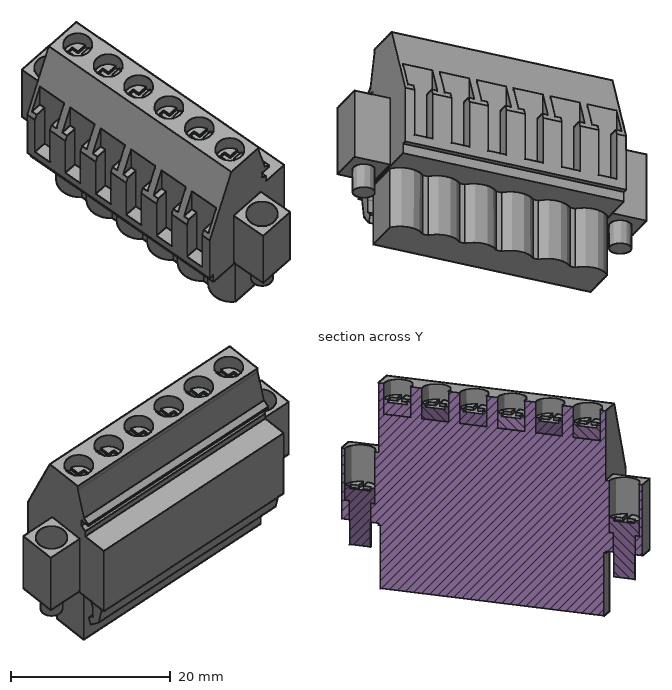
import cadquery as cq
import math


pole_count = 6
pole_pitch = 5.08
body_length = pole_count * pole_pitch
overall_length = 40.3
pole_x = [(i - (pole_count - 1) / 2) * pole_pitch for i in range(pole_count)]

front_y = -7.1
back_y = 7.0
body_top_z = 18.85
top_front_y = -3.02
top_back_y = 2.18
back_lean_top_z = 18.25
slope_bottom_z = 8.95
front_step_depth = 0.7
front_step_z = 1.33
shelf_z = 10.88
groove_bottom_y = 3.6
groove_floor_y = 2.85
groove_chamfer_z = 11.8
groove_floor_z = 12.25
lip_under_z = 13.17
lip_top_z = 13.45
lip_tip_y = 4.15
lip_root_y = 3.35
lip_root_z = 13.98

pocket_back_y = -5.28
pocket_head_width = 4.05
pocket_head_bottom_z = 9.7
pocket_top_z = 13.35
pocket_stem_width = 2.5
pocket_stem_bottom_z = 2.58

plug_bottom_z = -8.35
plug_length = 29.95
plug_back_y = 3.02
plug_crown_y = -plug_back_y
rib_radius = 3.02
rib_gap = 0.73

latch_outline = [
    (6.45, 0.0),
    (5.8, -3.1),
    (4.3, -4.65),
    (3.95, -3.65),
    (4.23, -3.22),
    (4.67, -2.95),
    (4.67, -1.15),
    (4.3, 0.0),
]

flange_length = (overall_length - body_length) / 2
flange_depth = 5.1
flange_bottom_z = 0.25
flange_top_z = 9.65
flange_x = body_length / 2 + flange_length / 2

clamp_screw_y = (top_front_y + top_back_y) / 2
clamp_screw_diameter = 3.63
clamp_screw_recess = 2.0
clamp_screw_height = 2.0
fixing_head_diameter = 3.95
fixing_head_recess = 4.85
fixing_head_height = 2.0
fixing_shank_diameter = 2.8
fixing_shank_bottom_z = -3.02
slot_width = 0.6
slot_depth = 0.4
clamp_cross_length = 2.55
clamp_cross_width = 0.85
fixing_cross_length = 2.7
fixing_cross_width = 0.73

clamp_top_z = body_top_z - clamp_screw_recess
clamp_bottom_z = clamp_top_z - clamp_screw_height
fixing_top_z = flange_top_z - fixing_head_recess
fixing_seat_z = fixing_top_z - fixing_head_height


def box(x_size, y_range, z_range, x=0.0):
    """A box centred on x, between two Y values and two Z values."""
    y_size = y_range[1] - y_range[0]
    z_size = z_range[1] - z_range[0]
    corner = (x - x_size / 2, y_range[0], z_range[0])
    return cq.Workplane("XY").box(x_size, y_size, z_size, centered=False).translate(corner)


def cylinder(diameter, x, y, bottom_z, top_z):
    """An upright cylinder between two Z values."""
    base = cq.Workplane("XY", origin=(x, y, bottom_z))
    return base.circle(diameter / 2).extrude(top_z - bottom_z)


def bar(outline, length):
    """A (Y, Z) outline extruded along X, centred on X = 0."""
    return cq.Workplane("YZ").polyline(outline).close().extrude(length / 2, both=True)


def housing_body():
    step_y = front_y + front_step_depth
    outline = [
        (step_y, 0.0),
        (step_y, front_step_z),
        (front_y, front_step_z),
        (front_y, slope_bottom_z),
        (top_front_y, body_top_z),
        (top_back_y, body_top_z),
        (top_back_y, back_lean_top_z),
        (lip_root_y, lip_root_z),
        (lip_tip_y, lip_top_z),
        (lip_tip_y, lip_under_z),
        (groove_floor_y, lip_under_z),
        (groove_floor_y, groove_floor_z),
        (groove_bottom_y, groove_chamfer_z),
        (groove_bottom_y, shelf_z),
        (back_y, shelf_z),
        (back_y, 0.0),
    ]
    return bar(outline, body_length)


def wire_pocket(x):
    """T-shaped pocket, open to the front."""
    pocket_y = (front_y, pocket_back_y)
    head = box(pocket_head_width, pocket_y, (pocket_head_bottom_z, pocket_top_z), x)
    stem = box(pocket_stem_width, pocket_y, (pocket_stem_bottom_z, pocket_head_bottom_z), x)
    return head.union(stem)


def rib_y(offset):
    """Y of the rib's round face at a distance in X from its crown."""
    return plug_crown_y + rib_radius - math.sqrt(rib_radius**2 - offset**2)


def plug():
    """Plug with one rounded rib per pole; the end ribs run out to the plug's ends."""
    half_length = plug_length / 2
    half_rib = (pole_pitch - rib_gap) / 2
    outline = cq.Workplane("XY", origin=(0, 0, plug_bottom_z)).moveTo(-half_length, plug_back_y)
    for x in pole_x:
        left_x = -half_length if x == pole_x[0] else x - half_rib
        right_x = half_length if x == pole_x[-1] else x + half_rib
        outline = outline.lineTo(left_x, rib_y(x - left_x))
        outline = outline.threePointArc((x, plug_crown_y), (right_x, rib_y(right_x - x)))
    outline = outline.lineTo(half_length, plug_back_y).close()
    return outline.extrude(-plug_bottom_z)


def flange(side):
    """End flange with a stepped through hole for its fixing screw."""
    x = side * flange_x
    flange_y_range = (-flange_depth / 2, flange_depth / 2)
    block = box(flange_length, flange_y_range, (flange_bottom_z, flange_top_z), x)
    head_hole = cylinder(fixing_head_diameter, x, 0.0, fixing_seat_z, flange_top_z)
    shank_hole = cylinder(fixing_shank_diameter, x, 0.0, flange_bottom_z, fixing_seat_z)
    return block.cut(head_hole).cut(shank_hole)


def make_housing():
    body = housing_body().union(plug()).union(bar(latch_outline, plug_length))
    for side in (-1, 1):
        body = body.union(flange(side))
    for x in pole_x:
        body = body.cut(wire_pocket(x))
        body = body.cut(cylinder(clamp_screw_diameter, x, clamp_screw_y, clamp_bottom_z, body_top_z))
    return body


def cross_recess(x, y, top_z, head_diameter, cross_length, cross_width):
    """A slot along Y right across the head, crossed by a shorter one along X."""
    slot_z = (top_z - slot_depth, top_z)
    long_slot = box(slot_width, (y - head_diameter / 2, y + head_diameter / 2), slot_z, x)
    short_slot = box(cross_length, (y - cross_width / 2, y + cross_width / 2), slot_z, x)
    return long_slot.union(short_slot)


def make_clamp_screw(x):
    head = cylinder(clamp_screw_diameter, x, clamp_screw_y, clamp_bottom_z, clamp_top_z)
    recess = cross_recess(
        x, clamp_screw_y, clamp_top_z, clamp_screw_diameter, clamp_cross_length, clamp_cross_width
    )
    return head.cut(recess)


def make_fixing_screw(side):
    x = side * flange_x
    head = cylinder(fixing_head_diameter, x, 0.0, fixing_seat_z, fixing_top_z)
    shank = cylinder(fixing_shank_diameter, x, 0.0, fixing_shank_bottom_z, fixing_seat_z)
    recess = cross_recess(
        x, 0.0, fixing_top_z, fixing_head_diameter, fixing_cross_length, fixing_cross_width
    )
    return head.union(shank).cut(recess)


housing = make_housing()
clamp_screws = [make_clamp_screw(x) for x in pole_x]
fixing_screws = [make_fixing_screw(side) for side in (-1, 1)]

result = cq.Compound.makeCompound(
    [housing.val()]
    + [screw.val() for screw in clamp_screws]
    + [screw.val() for screw in fixing_screws]
)